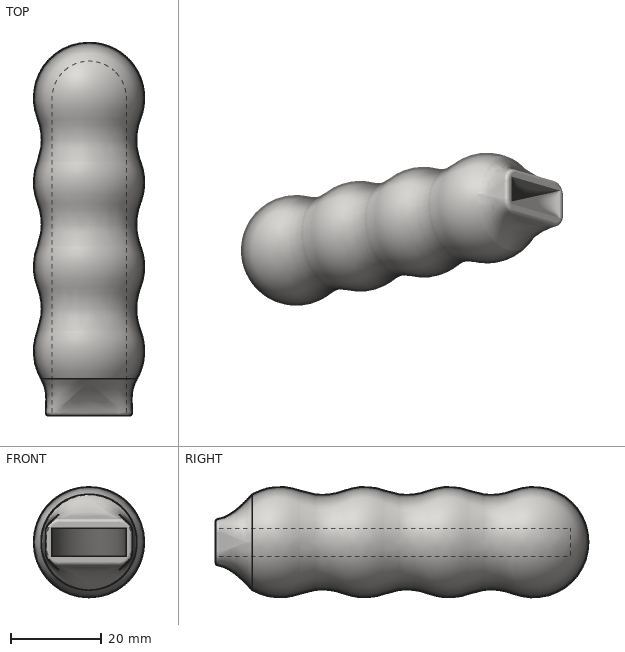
import cadquery as cq
import math

length = 82.5
ball_radius = 12.25
ball_count = 4
ball_pitch = 18.65
neck_blend_radius = 13.45

collar_length = 8.2
mouth_width = 19.2
mouth_height = 10.2
mouth_corner_radius = 2.9
rim_fillet = 0.75
side_start_slope = 0.6
top_start_slope = 1.1
collar_sections = 7
shortest_flat = 0.04

pocket_width = 16.4
pocket_height = 6.3

end_ball_y = length - ball_radius
first_ball_y = end_ball_y - (ball_count - 1) * ball_pitch
collar_radius = math.sqrt(ball_radius**2 - (first_ball_y - collar_length) ** 2)

half_pitch = ball_pitch / 2
blend_reach = ball_radius + neck_blend_radius
blend_center_x = math.sqrt(blend_reach**2 - half_pitch**2)
neck_radius = blend_center_x - neck_blend_radius
tangent_offset = half_pitch * ball_radius / blend_reach
tangent_x = blend_center_x * ball_radius / blend_reach


def make_balls():
    """Revolve the row of balls and necks about the Y axis."""
    profile = cq.Workplane("XY").moveTo(0, collar_length).lineTo(collar_radius, collar_length)
    for index in range(ball_count - 1):
        ball_y = first_ball_y + index * ball_pitch
        next_y = ball_y + ball_pitch
        profile = profile.threePointArc((ball_radius, ball_y), (tangent_x, ball_y + tangent_offset))
        profile = profile.threePointArc(
            (neck_radius, ball_y + half_pitch), (tangent_x, next_y - tangent_offset)
        )
    profile = profile.threePointArc((ball_radius, end_ball_y), (0, length))
    return profile.close().revolve(360, (0, 0, 0), (0, 1, 0))


def ease(start, end, start_slope, t):
    """Cubic from start to end that changes by start_slope per unit t at first and arrives level."""
    blend = 3 * t**2 - 2 * t**3
    return start * (1 - blend) + end * blend + start_slope * t * (1 - t) ** 2


def collar_section(t):
    """Rounded rectangle at fraction t of the way from the ball to the mouth."""
    half_width = ease(collar_radius, mouth_width / 2, -side_start_slope * collar_length, t)
    half_height = ease(collar_radius, mouth_height / 2, -top_start_slope * collar_length, t)
    radius = ease(collar_radius, mouth_corner_radius, -top_start_slope * collar_length, t)
    radius = min(radius, half_width - shortest_flat, half_height - shortest_flat)
    plane = cq.Plane((0, collar_length * (1 - t), 0), xDir=(1, 0, 0), normal=(0, -1, 0))
    outline = cq.Sketch().rect(2 * half_width, 2 * half_height).vertices().fillet(radius)
    return cq.Workplane(plane).placeSketch(outline)


def make_collar():
    """Loft the collar from the round ball to the flat mouth and round its rim."""
    sections = [collar_section(index / (collar_sections - 1)) for index in range(collar_sections)]
    wires = [section.extrude(mouth_height).faces(">Y").wires().val() for section in sections]
    collar = cq.Workplane(cq.Solid.makeLoft(wires))
    return collar.faces("<Y").edges().fillet(rim_fillet)


def make_pocket():
    """Flat blade pocket whose half-round end is centered in the end ball."""
    half = pocket_width / 2
    return (
        cq.Workplane("XY")
        .moveTo(-half, 0)
        .lineTo(half, 0)
        .lineTo(half, end_ball_y)
        .threePointArc((0, end_ball_y + half), (-half, end_ball_y))
        .close()
        .extrude(pocket_height / 2, both=True)
    )


result = make_balls().union(make_collar()).cut(make_pocket())